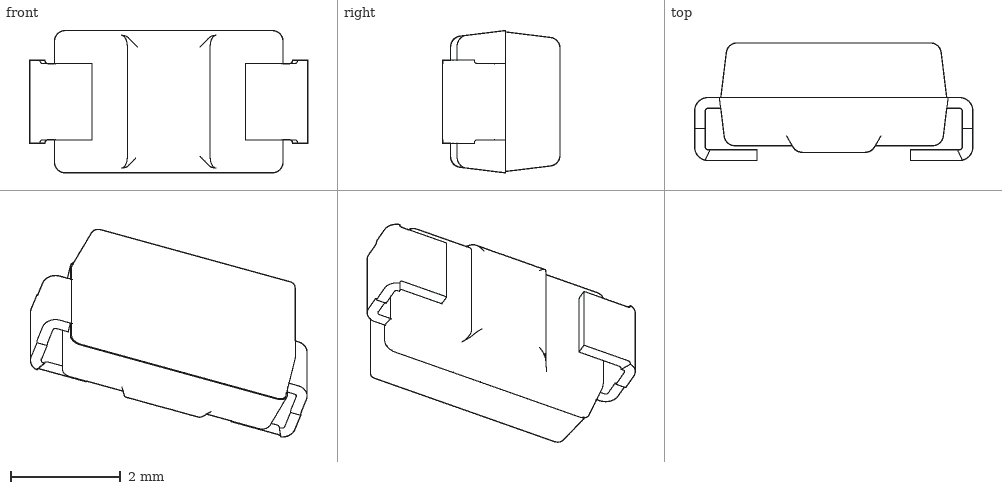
import cadquery as cq
import math


lower_length = 4.175
lower_width = 2.6
lower_depth = 0.885
upper_depth = 0.995
mold_step = 0.025
draft_angle = 7
corner_radius = 0.205
edge_radius = 0.205

pad_depth = 1.005
pad_length = 1.37
pad_flank_angle = 30
pad_root_depth = 0.51

overall_length = 5.08
lead_thickness = 0.2
lead_bend_radius = 0.25
lead_foot_depth = 1.155
lead_foot_length = 1.145
lead_narrow_width = 1.39
lead_wide_width = 1.52
neck_end_depth = 0.57
foot_step_outer = 0.19
foot_step_inner = 0.285
step_fillet = 0.05
lead_embedment = 0.205

pick_margin = 0.005
draft_slope = math.tan(math.radians(draft_angle))
side_step = (lead_wide_width - lead_narrow_width) / 2

outer_x = -overall_length / 2
inner_x = outer_x + lead_thickness
foot_end_x = outer_x + lead_foot_length
foot_top = lead_thickness - lead_foot_depth
lead_end_x = lead_embedment - lower_length / 2

toward_mount = cq.Plane(origin=(0, 0, 0), xDir=(1, 0, 0), normal=(0, -1, 0))
toward_back = cq.Plane(origin=(0, 0, 0), xDir=(1, 0, 0), normal=(0, 1, 0))


def make_housing_half(plane, inset, depth):
    """Drafted half with round corners, grown from the parting plane and rounded at its end face."""
    outline = cq.Sketch().rect(lower_length - 2 * inset, lower_width - 2 * inset)
    outline = outline.vertices().fillet(corner_radius - inset)
    half = cq.Workplane(plane).placeSketch(outline).extrude(depth, taper=draft_angle)
    end_face = half.faces(cq.selectors.DirectionMinMaxSelector(plane.zDir, True))
    return end_face.edges().fillet(edge_radius)


def make_pad():
    """Block with leaning flanks; its other two sides run on in the housing's drafted sides."""
    rise = pad_depth - pad_root_depth
    root_length = pad_length + 2 * rise * math.tan(math.radians(pad_flank_angle))
    root_width = lower_width - 2 * pad_root_depth * draft_slope
    face_width = lower_width - 2 * pad_depth * draft_slope
    pad = (
        cq.Workplane(toward_mount)
        .workplane(offset=pad_root_depth)
        .rect(root_length, root_width)
        .workplane(offset=rise)
        .rect(pad_length, face_width)
        .loft(ruled=True)
    )
    return pad.faces("<Y").edges().fillet(edge_radius)


def make_lead_strip():
    """Bent strip of the lead on the -X side, at its full width."""
    outline = (
        cq.Workplane("XY")
        .moveTo(lead_end_x, 0)
        .lineTo(outer_x, 0)
        .lineTo(outer_x, -lead_foot_depth)
        .lineTo(foot_end_x, -lead_foot_depth)
        .lineTo(foot_end_x, foot_top)
        .lineTo(inner_x, foot_top)
        .lineTo(inner_x, -lead_thickness)
        .lineTo(lead_end_x, -lead_thickness)
        .close()
    )
    strip = outline.extrude(lead_wide_width / 2, both=True)
    strip = strip.faces("<X").edges("|Z").fillet(lead_bend_radius)
    bend_lines = strip.edges("|Z").edges(
        cq.selectors.BoxSelector(
            (inner_x - pick_margin, foot_top - pick_margin, -pick_margin),
            (inner_x + pick_margin, pick_margin - lead_thickness, pick_margin),
        )
    )
    return bend_lines.fillet(lead_bend_radius - lead_thickness)


def make_side_notch(corners):
    """Cutter that narrows the strip on its +Z side; the step runs between the first two corners."""
    (start_x, start_y), (end_x, end_y) = corners[:2]
    notch = (
        cq.Workplane("XY")
        .workplane(offset=lead_narrow_width / 2)
        .polyline(corners)
        .close()
        .extrude(side_step)
    )
    step_middle = ((start_x + end_x) / 2, (start_y + end_y) / 2, lead_narrow_width / 2)
    return notch.edges(cq.selectors.NearestToPointSelector(step_middle)).fillet(step_fillet)


def make_lead():
    """Lead at the -X end: narrow neck, wide upright, narrow foot."""
    neck_corners = [
        (outer_x, -neck_end_depth),
        (lead_end_x, -neck_end_depth),
        (lead_end_x, 0),
        (outer_x, 0),
    ]
    foot_corners = [
        (outer_x + foot_step_outer, -lead_foot_depth),
        (outer_x + foot_step_inner, foot_top),
        (foot_end_x, foot_top),
        (foot_end_x, -lead_foot_depth),
    ]
    lead = make_lead_strip()
    for corners in (neck_corners, foot_corners):
        notch = make_side_notch(corners)
        lead = lead.cut(notch).cut(notch.mirror("XY"))
    return lead


def make_leads():
    """The lead at -X and its mirror image at +X."""
    lead = make_lead()
    return [lead, lead.mirror("YZ")]


def make_housing(leads):
    """Two drafted halves and the pad as one solid, with a recess for the end of each lead."""
    housing = make_housing_half(toward_mount, 0, lower_depth)
    housing = housing.union(make_housing_half(toward_back, mold_step, upper_depth))
    housing = housing.union(make_pad())
    for lead in leads:
        housing = housing.cut(lead)
    return housing


leads = make_leads()
housing = make_housing(leads)

result = cq.Compound.makeCompound([housing.val(), *[lead.val() for lead in leads]])